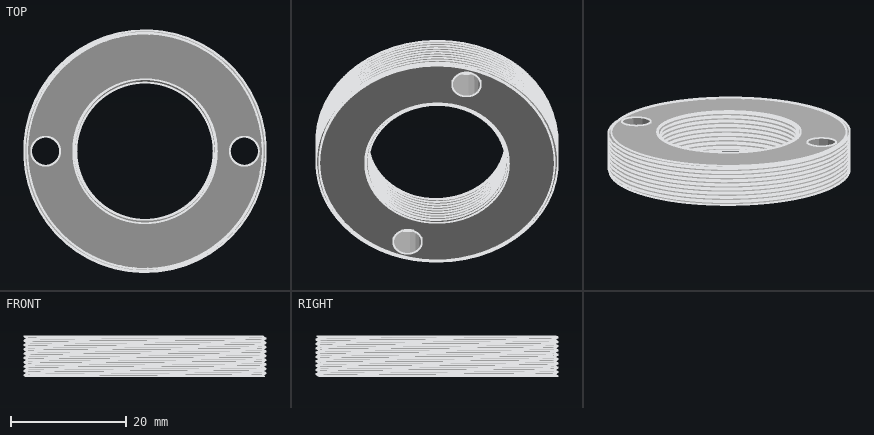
import cadquery as cq
import math

ring_height = 7.0
core_diameter = 40.89
bore_diameter = 25.0

spanner_hole_diameter = 5.0
spanner_hole_spacing = 34.5

outer_crest_diameter = 42.0
outer_pitch = 0.75
outer_phase_height = 0.57

inner_crest_diameter = 23.82
inner_pitch = 25.4 / 32
inner_phase_height = 0.065

flank_angle = math.radians(30)
root_flat_ratio = 1 / 8
spare_turns = 2


def make_ring():
    """Flat ring with a plain bore and two spanner holes."""
    blank = cq.Workplane("XY").circle(core_diameter / 2).circle(bore_diameter / 2).extrude(ring_height)
    hole_x = spanner_hole_spacing / 2
    holes = (
        cq.Workplane("XY")
        .pushPoints([(-hole_x, 0), (hole_x, 0)])
        .circle(spanner_hole_diameter / 2)
        .extrude(ring_height)
    )
    return blank.cut(holes)


def make_thread(root_radius, crest_radius, pitch, phase_height):
    """Right-hand thread ridge from root_radius to crest_radius, trimmed flush with both ring faces."""
    root_half = pitch * (1 - root_flat_ratio) / 2
    crest_half = root_half - abs(crest_radius - root_radius) * math.tan(flank_angle)
    start = phase_height - spare_turns * pitch
    turns = math.ceil(ring_height / pitch) + 2 * spare_turns
    helix = cq.Wire.makeHelix(pitch, turns * pitch, root_radius).translate(cq.Vector(0, 0, start))
    ridge = (
        cq.Workplane("XZ")
        .moveTo(root_radius, start - root_half)
        .lineTo(crest_radius, start - crest_half)
        .lineTo(crest_radius, start + crest_half)
        .lineTo(root_radius, start + root_half)
        .close()
        .sweep(cq.Workplane(helix), isFrenet=True)
    )
    slab = cq.Workplane("XY").circle(outer_crest_diameter).extrude(ring_height)
    return ridge.intersect(slab)


ring = make_ring()
outer_thread = make_thread(core_diameter / 2, outer_crest_diameter / 2, outer_pitch, outer_phase_height)
inner_thread = make_thread(bore_diameter / 2, inner_crest_diameter / 2, inner_pitch, inner_phase_height)

bodies = [
    *ring.solids().vals(),
    *outer_thread.solids().vals(),
    *inner_thread.solids().vals(),
]
result = cq.Compound.makeCompound(bodies)